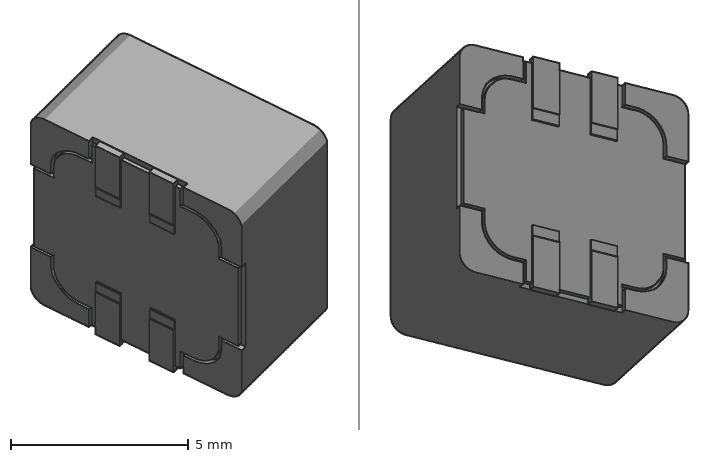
import cadquery as cq

housing_side = 7.3
housing_depth = 4.2
housing_corner_radius = 0.5
recess_depth = 0.19

recess_arm_half_width = 1.63
recess_core_half_width = 2.95
recess_core_radius = 1.0

plate_clearance = 0.1
plate_edge_inset = 0.12
plate_thickness = 0.13

terminal_width = 0.84
terminal_spacing = 1.86
terminal_span = 7.4
terminal_length = 2.0
terminal_tip_length = 0.35
terminal_height = 0.09
terminal_tip_height = 0.06


def block(x_range, y_range, z_range):
    """Box between the given limits along each axis."""
    ranges = (x_range, y_range, z_range)
    sizes = [high - low for low, high in ranges]
    corner = tuple(low for low, high in ranges)
    return cq.Workplane("XY").box(*sizes, centered=False).translate(corner)


def square_prism(width, height, depth):
    """Prism centred on the Y axis, from the mounting face into the housing."""
    return cq.Workplane("XZ").rect(width, height).extrude(-depth)


def cross_prism(arm_length, arm_half_width, core_half_width, core_radius, depth):
    """Rounded square core with one arm reaching out through each side."""
    core_side = 2 * core_half_width
    arm_width = 2 * arm_half_width
    core = square_prism(core_side, core_side, depth).edges("|Y").fillet(core_radius)
    arm_along_x = square_prism(arm_length, arm_width, depth)
    arm_along_z = square_prism(arm_width, arm_length, depth)
    return core.union(arm_along_x).union(arm_along_z)


def make_housing():
    body = square_prism(housing_side, housing_side, housing_depth)
    body = body.edges("|Y").fillet(housing_corner_radius)
    recess = cross_prism(
        housing_side,
        recess_arm_half_width,
        recess_core_half_width,
        recess_core_radius,
        recess_depth,
    )
    return body.cut(recess)


def make_terminal(x_center, z_side):
    """Strip with a thinner tip toward the centre; z_side is +1 or -1."""
    x_range = (x_center - terminal_width / 2, x_center + terminal_width / 2)
    z_outer = terminal_span / 2
    z_tip = z_outer - terminal_length
    z_step = z_tip + terminal_tip_length
    foot = block(x_range, (-terminal_height, plate_thickness), (z_step, z_outer))
    tip = block(x_range, (-terminal_tip_height, plate_thickness), (z_tip, z_step))
    terminal = foot.union(tip)
    return terminal if z_side > 0 else terminal.mirror("XY")


def make_base():
    base = cross_prism(
        housing_side - 2 * plate_edge_inset,
        recess_arm_half_width - plate_clearance,
        recess_core_half_width - plate_clearance,
        recess_core_radius - plate_clearance,
        plate_thickness,
    )
    for x_side in (-1, 1):
        for z_side in (-1, 1):
            base = base.union(make_terminal(x_side * terminal_spacing / 2, z_side))
    return base


housing = make_housing()
base = make_base()

result = cq.Compound.makeCompound([housing.solids().val(), base.solids().val()])